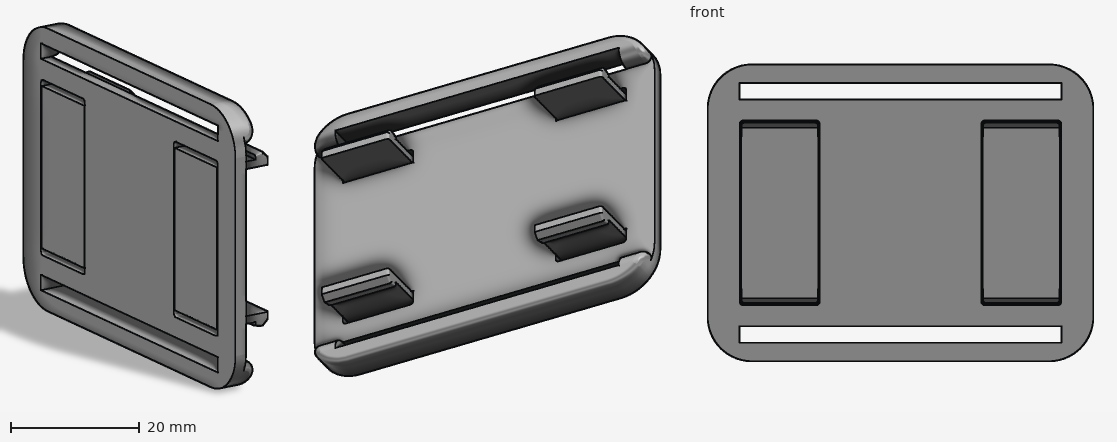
import cadquery as cq

PLATE_WIDTH = 60.0
PLATE_HEIGHT = 46.2
PLATE_CORNER_RADIUS = 6.95
PLATE_THICKNESS = 2.0

SLOT_LENGTH = 50.05
SLOT_HEIGHT = 2.5
SLOT_EDGE_MARGIN = 2.95
BAR_DEPTH = 4.5
BAR_EDGE_FILLET = 1.0
BAR_INNER_RADIUS = BAR_DEPTH - PLATE_THICKNESS
SLOT_OUTER_Z = PLATE_HEIGHT / 2 - SLOT_EDGE_MARGIN
SLOT_INNER_Z = SLOT_OUTER_Z - SLOT_HEIGHT
BAR_INNER_Z = SLOT_OUTER_Z - BAR_INNER_RADIUS

CLIP_X = 18.8
CLIP_WIDTH = 11.95
CLIP_HEIGHT = 26.5
CLIP_DEPTH = 9.65
CLIP_THICKNESS = 1.25
HOOK_HEIGHT = 0.95
HOOK_CATCH_HEIGHT = 0.7
HOOK_CATCH_Y = 7.2
HOOK_CREST_LENGTH = 0.4
HOOK_FILLET = 0.4

POCKET_WIDTH = 12.4
POCKET_HEIGHT = 28.7
POCKET_CORNER_RADIUS = 0.6
POCKET_DEPTH = CLIP_THICKNESS
POCKET_FLOOR_HEIGHT = 23.75


def block_from_front(width, height, depth, corner_radius):
    """Block centred on the Y axis, from Y = 0 back to Y = depth, with rounded corners."""
    block = cq.Workplane("XY").box(width, depth, height).translate((0, depth / 2, 0))
    return block.edges("|Y").fillet(corner_radius)


def strap_bar():
    """Upper bar: rounded towards the plate centre and around its rear outer edge."""
    outer_z = PLATE_HEIGHT / 2
    profile = (
        cq.Workplane("YZ")
        .moveTo(0, outer_z)
        .lineTo(BAR_DEPTH, outer_z)
        .lineTo(BAR_DEPTH, SLOT_OUTER_Z)
        .radiusArc((PLATE_THICKNESS, BAR_INNER_Z), BAR_INNER_RADIUS)
        .lineTo(0, BAR_INNER_Z)
        .close()
        .extrude(PLATE_WIDTH / 2, both=True)
    )
    outline = block_from_front(PLATE_WIDTH, PLATE_HEIGHT, BAR_DEPTH, PLATE_CORNER_RADIUS)
    bar = outline.intersect(profile)
    rear_top_edge = cq.selectors.NearestToPointSelector((0, BAR_DEPTH, outer_z))
    return bar.edges(rear_top_edge).fillet(BAR_EDGE_FILLET)


def strap_slot():
    """Cutter for the upper strap slot."""
    slot = cq.Workplane("XY").box(SLOT_LENGTH, 2 * BAR_DEPTH, SLOT_HEIGHT)
    return slot.translate((0, 0, (SLOT_OUTER_Z + SLOT_INNER_Z) / 2))


def clip_pocket():
    """Cutter for one pocket: shallow in the middle, open right through at both ends."""
    opening = block_from_front(POCKET_WIDTH, POCKET_HEIGHT, PLATE_THICKNESS, POCKET_CORNER_RADIUS)
    floor_thickness = PLATE_THICKNESS - POCKET_DEPTH
    floor = cq.Workplane("XY").box(POCKET_WIDTH, floor_thickness, POCKET_FLOOR_HEIGHT)
    return opening.cut(floor.translate((0, POCKET_DEPTH + floor_thickness / 2, 0)))


def make_plate():
    plate = block_from_front(PLATE_WIDTH, PLATE_HEIGHT, PLATE_THICKNESS, PLATE_CORNER_RADIUS)
    bar = strap_bar()
    slot = strap_slot()
    plate = plate.union(bar).union(bar.mirror("XY"))
    plate = plate.cut(slot).cut(slot.mirror("XY"))
    for x in (-CLIP_X, CLIP_X):
        plate = plate.cut(clip_pocket().translate((x, 0, 0)))
    return plate


def clip_hook():
    """Upper hook: square catch, gently rising back, short crest and 45 degree lead-in."""
    arm_z = CLIP_HEIGHT / 2
    crest_end_y = CLIP_DEPTH - HOOK_HEIGHT
    arm_inner_z = arm_z - CLIP_THICKNESS
    hook = (
        cq.Workplane("YZ")
        .moveTo(HOOK_CATCH_Y, arm_inner_z)
        .lineTo(HOOK_CATCH_Y, arm_z + HOOK_CATCH_HEIGHT)
        .lineTo(crest_end_y - HOOK_CREST_LENGTH, arm_z + HOOK_HEIGHT)
        .lineTo(crest_end_y, arm_z + HOOK_HEIGHT)
        .lineTo(CLIP_DEPTH, arm_z)
        .lineTo(CLIP_DEPTH, arm_inner_z)
        .close()
        .extrude(CLIP_WIDTH / 2, both=True)
    )
    side_faces = hook.faces("<X or >X")
    rounded = side_faces.edges("not(<Y or <Z)")
    return hook.newObject(rounded.vals()).fillet(HOOK_FILLET)


def make_clip(x):
    body_depth = HOOK_CATCH_Y
    body = cq.Workplane("XY").box(CLIP_WIDTH, body_depth, CLIP_HEIGHT)
    gap = cq.Workplane("XY").box(CLIP_WIDTH, body_depth, CLIP_HEIGHT - 2 * CLIP_THICKNESS)
    clip = body.cut(gap.translate((0, CLIP_THICKNESS, 0))).translate((0, body_depth / 2, 0))
    hook = clip_hook()
    clip = clip.union(hook).union(hook.mirror("XY"))
    return clip.translate((x, 0, 0))


plate = make_plate()
clips = [make_clip(x) for x in (-CLIP_X, CLIP_X)]

bodies = [plate, *clips]
result = cq.Compound.makeCompound([body.solids().val() for body in bodies])